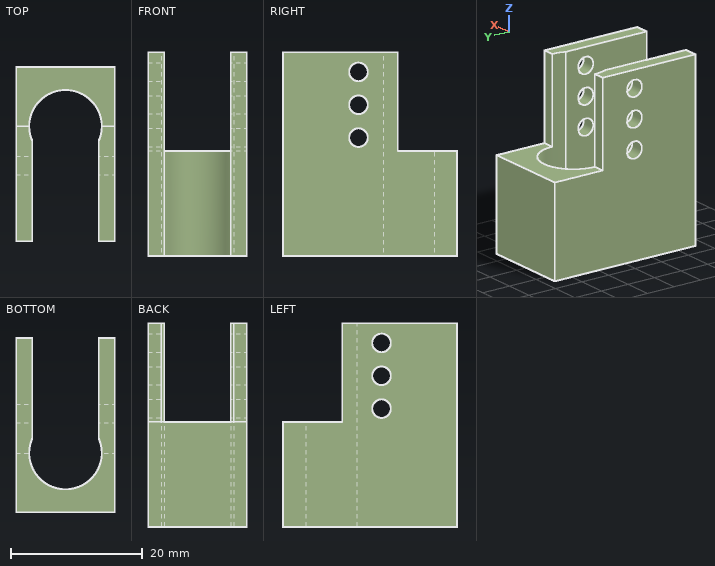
import cadquery as cq

width = 15.0
depth = 26.5
height = 31

bridge_depth = 9.02
bridge_height = 16.0

plate_thickness = 2.48
slot_width = width - 2 * plate_thickness
bore_diameter = 11.0

hole_diameter = 2.8
hole_count = 3
hole_pitch = 5.0
top_hole_drop = 3.0
hole_from_front = 11.5

front_y = bridge_depth - depth


def make_body():
    """Stepped side profile extruded across the full width."""
    profile = [
        (front_y, 0),
        (bridge_depth, 0),
        (bridge_depth, bridge_height),
        (0, bridge_height),
        (0, height),
        (front_y, height),
    ]
    return cq.Workplane("YZ").polyline(profile).close().extrude(width / 2, both=True)


def make_keyhole_opening():
    """Bore and open-fronted slot running the full height."""
    bore = cq.Workplane("XY").circle(bore_diameter / 2).extrude(height)
    slot = (
        cq.Workplane("XY")
        .center(0, front_y / 2)
        .rect(slot_width, -front_y)
        .extrude(height)
    )
    return bore.union(slot)


def make_cross_holes():
    """Vertical row of cylinders that cut the holes through both plates."""
    centers = [
        (front_y + hole_from_front, height - top_hole_drop - i * hole_pitch)
        for i in range(hole_count)
    ]
    return (
        cq.Workplane("YZ")
        .pushPoints(centers)
        .circle(hole_diameter / 2)
        .extrude(width, both=True)
    )


result = make_body().cut(make_keyhole_opening()).cut(make_cross_holes())